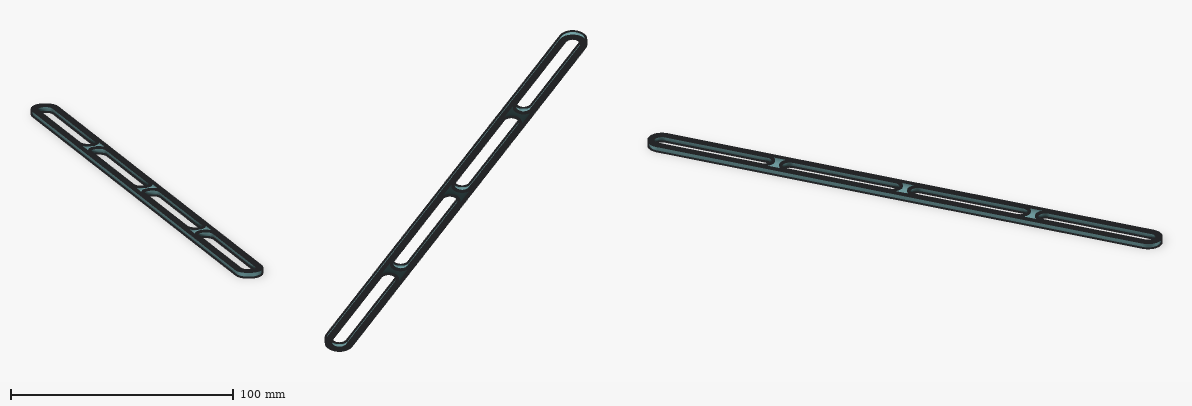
import cadquery as cq

LENGTH = 250.0
WIDTH = 12.5
THICKNESS = 3.125
RAIL = 2.5
SLOT_COUNT = 4
EDGE_BREAK = 0.3
RIM = 1.1
LIP = 0.7
RECESS_DEPTH = 0.3

SLOT_PITCH = LENGTH / SLOT_COUNT
SLOT_LENGTH = SLOT_PITCH - 2 * RAIL
SLOT_WIDTH = WIDTH - 2 * RAIL
RECESS_FLOOR = THICKNESS / 2 - RECESS_DEPTH


def rounded_bar(length, width):
    """Full-round-ended bar of the part's thickness, centred on the origin."""
    return cq.Workplane("XY").slot2D(length, width).extrude(THICKNESS / 2, both=True)


def slot_row(margin):
    """Row of round-ended bars, each larger than its slot by a margin all round."""
    row = cq.Workplane("XY").rarray(SLOT_PITCH, 1, SLOT_COUNT, 1)
    row = row.slot2D(SLOT_LENGTH + 2 * margin, SLOT_WIDTH + 2 * margin)
    return row.extrude(THICKNESS / 2, both=True)


def make_frame():
    """Slotted bar with all its top and bottom edges chamfered."""
    frame = rounded_bar(LENGTH, WIDTH).cut(slot_row(0))
    return frame.faces("|Z").edges().chamfer(EDGE_BREAK)


def make_recess():
    """Cutter for the top recess: everything inside the rim except the slot lips."""
    recess = rounded_bar(LENGTH - 2 * RIM, WIDTH - 2 * RIM).cut(slot_row(LIP))
    return recess.translate((0, 0, RECESS_FLOOR + THICKNESS / 2))


top_recess = make_recess()
bottom_recess = top_recess.mirror("XY")
result = make_frame().cut(top_recess).cut(bottom_recess)